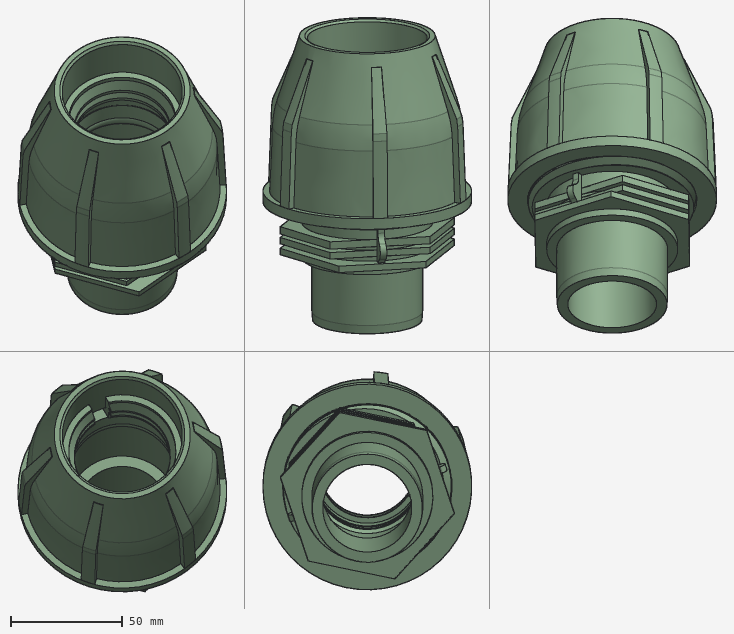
import cadquery as cq
import math

TOTAL_HEIGHT = 132.4

BORE_RADIUS = 20.0
SPIGOT_RADIUS = 25.0
SPIGOT_TIP_RADIUS = 49.43 / 2
SPIGOT_TIP_HEIGHT = 4.0
SHOULDER_RADIUS = 29.5
SHOULDER_BOTTOM = 29.0
SOCKET_RADIUS = 25.0
SOCKET_FLOOR = 36.0
SEAL_POCKET_RADIUS = 29.7
SEAL_POCKET_FLOOR = 76.0
BODY_TOP = 87.0

THREAD_BOTTOM = 52.2
THREAD_TOP = 84.0
THREAD_ROOT_RADIUS = 68.97 / 2
THREAD_CREST_RADIUS = 75.62 / 2
THREAD_PITCH = 6.0
THREAD_CREST_WIDTH = 0.9
THREAD_FLANK_RISE = 2.4
THREAD_EMBED = 0.3
THREAD_START = 48.95

HEX_SIDES = 6
HEX_CORNER_DIAMETER = 80.0
LOWER_PLATE = (32.3, 3.0)
UPPER_PLATES = ((37.4, 3.0), (42.0, 3.4))

LUG_THICKNESS = 3.0
LUG_OUTER = 32.2
KNOB_CENTRE_X = 33.3
KNOB_CENTRE_Z = 41.0
KNOB_RADIUS = 4.0
LUG_FILLET = 4.7

FLANGE_RADIUS = 47.0
FLANGE_BOTTOM = 55.0
FLANGE_TOP = 60.0
SKIRT_BOTTOM_RADIUS = 44.0
SKIRT_TOP_RADIUS = 42.75
SKIRT_TOP = 90.4
CONE_BOTTOM_RADIUS = 40.6
CONE_BOTTOM = 102.0
RIM_RADIUS = 61.2 / 2
RIM_INNER_RADIUS = 28.1
MOUTH_CHAMFER_DEPTH = 1.0
THROAT_RADIUS = 27.0
COLLAR_RADIUS = 31.0
COLLAR_TOP = 97.1
COLLAR_SEAT_BOTTOM = 93.1
NUT_BORE_RADIUS = 76.2 / 2

RIB_COUNT = 6
RIB_ANGLE = 8.0
RIB_BASE_RADIUS = 46.9
RIB_KNEE_LOWER = (45.5, 95.6)
RIB_KNEE_UPPER = (45.0, 99.0)
RIB_TIP = (32.75, 126.6)
RIB_EMBED = 3.0

GRIP_TOP = 111.2
GRIP_BOTTOM = 90.5
GRIP_INNER_RADIUS = 24.1
GRIP_LAND_HEIGHT = 2.2
TOOTH_RADIUS = 21.6
TOOTH_RAMP_HEIGHT = 4.1
TOOTH_LAND_HEIGHT = 1.6
TOOTH_COUNT = 2
SPLIT_WIDTH = 8.2
SPLIT_DIRECTION = 45.0
SPLIT_OFFSET = 2.1

SEAL_SECTION_RADIUS = 3.0
SEAL_TOP = SEAL_POCKET_FLOOR + 2 * SEAL_SECTION_RADIUS
SEAL_INNER_RADIUS = SEAL_POCKET_RADIUS - 2 * SEAL_SECTION_RADIUS
SLEEVE_MOUTH_RADIUS = 24.6


def revolve_full(points):
    """Solid of revolution about Z from a closed (radius, height) outline."""
    return cq.Workplane("XZ").polyline(points).close().revolve(360, (0, 0, 0), (0, 1, 0))


def make_thread():
    """Right-handed helical ridge, trimmed flat at both ends."""
    half_crest = THREAD_CREST_WIDTH / 2
    half_base = half_crest + THREAD_FLANK_RISE
    inner = THREAD_ROOT_RADIUS - THREAD_EMBED
    length = THREAD_TOP - THREAD_START + THREAD_PITCH
    helix = cq.Wire.makeHelix(THREAD_PITCH, length, THREAD_ROOT_RADIUS)
    ridge = (
        cq.Workplane("XZ")
        .polyline([
            (inner, -half_base),
            (THREAD_ROOT_RADIUS, -half_base),
            (THREAD_CREST_RADIUS, -half_crest),
            (THREAD_CREST_RADIUS, half_crest),
            (THREAD_ROOT_RADIUS, half_base),
            (inner, half_base),
        ])
        .close()
        .sweep(cq.Workplane(helix), isFrenet=True)
        .translate((0, 0, THREAD_START))
    )
    envelope = (
        cq.Workplane("XY", origin=(0, 0, THREAD_BOTTOM))
        .circle(FLANGE_RADIUS)
        .extrude(THREAD_TOP - THREAD_BOTTOM)
    )
    return ridge.intersect(envelope)


def make_plate(bottom, thickness):
    """Hexagonal plate with corners on the Y axis."""
    return (
        cq.Workplane("XY", origin=(0, 0, bottom))
        .polygon(HEX_SIDES, HEX_CORNER_DIAMETER)
        .extrude(thickness)
        .rotate((0, 0, 0), (0, 0, 1), 90)
    )


def make_lug():
    """Lug on the +X side: an upright bar with a round knob blended in by concave arcs.

    It stands on the lower plate and ends at the underside of the thread.
    """
    blend_x = LUG_OUTER + LUG_FILLET
    blend_rise = math.sqrt((KNOB_RADIUS + LUG_FILLET) ** 2 - (blend_x - KNOB_CENTRE_X) ** 2)
    share = KNOB_RADIUS / (KNOB_RADIUS + LUG_FILLET)
    joint_x = KNOB_CENTRE_X + share * (blend_x - KNOB_CENTRE_X)
    joint_rise = share * blend_rise
    joint_angle = math.atan2(blend_rise - joint_rise, blend_x - joint_x)
    middle_x = blend_x - LUG_FILLET * math.cos(joint_angle / 2)
    middle_rise = blend_rise - LUG_FILLET * math.sin(joint_angle / 2)
    inner = SOCKET_RADIUS + (SHOULDER_RADIUS - SOCKET_RADIUS) / 2
    z = KNOB_CENTRE_Z
    lug = (
        cq.Workplane("XZ")
        .moveTo(inner, z - blend_rise)
        .lineTo(LUG_OUTER, z - blend_rise)
        .threePointArc((middle_x, z - middle_rise), (joint_x, z - joint_rise))
        .threePointArc((KNOB_CENTRE_X + KNOB_RADIUS, z), (joint_x, z + joint_rise))
        .threePointArc((middle_x, z + middle_rise), (LUG_OUTER, z + blend_rise))
        .lineTo(LUG_OUTER, THREAD_BOTTOM)
        .lineTo(inner, THREAD_BOTTOM)
        .close()
        .extrude(LUG_THICKNESS / 2, both=True)
    )
    below_lower_plate = cq.Workplane("XY").circle(FLANGE_RADIUS).extrude(LOWER_PLATE[0])
    return lug.cut(below_lower_plate)


def make_body():
    shell = revolve_full([
        (0, 0),
        (SPIGOT_TIP_RADIUS, 0),
        (SPIGOT_RADIUS, SPIGOT_TIP_HEIGHT),
        (SPIGOT_RADIUS, SHOULDER_BOTTOM),
        (SHOULDER_RADIUS, SHOULDER_BOTTOM),
        (SHOULDER_RADIUS, THREAD_BOTTOM),
        (THREAD_ROOT_RADIUS, THREAD_BOTTOM),
        (THREAD_ROOT_RADIUS, BODY_TOP),
        (0, BODY_TOP),
    ])
    shell = shell.union(make_thread())
    shell = shell.union(make_plate(*LOWER_PLATE))
    flats = cq.Workplane("XY").box(2 * SHOULDER_RADIUS, HEX_CORNER_DIAMETER, 2 * TOTAL_HEIGHT)
    for bottom, thickness in UPPER_PLATES:
        shell = shell.union(make_plate(bottom, thickness).intersect(flats))
    for angle in (0, 180):
        shell = shell.union(make_lug().rotate((0, 0, 0), (0, 0, 1), angle))
    bore = revolve_full([
        (0, 0),
        (BORE_RADIUS, 0),
        (BORE_RADIUS, SOCKET_FLOOR),
        (SOCKET_RADIUS, SOCKET_FLOOR),
        (SOCKET_RADIUS, SEAL_POCKET_FLOOR),
        (SEAL_POCKET_RADIUS, SEAL_POCKET_FLOOR),
        (SEAL_POCKET_RADIUS, BODY_TOP),
        (0, BODY_TOP),
    ])
    return shell.cut(bore)


def make_rib():
    """Wedge-shaped grip rib that ends on the radial plane through +X."""
    base_inner = SKIRT_BOTTOM_RADIUS - RIB_EMBED
    return (
        cq.Workplane("XZ")
        .polyline([
            (base_inner, FLANGE_TOP),
            (RIB_BASE_RADIUS, FLANGE_TOP),
            RIB_KNEE_LOWER,
            RIB_KNEE_UPPER,
            RIB_TIP,
            (RIB_TIP[0] - RIB_EMBED, RIB_TIP[1]),
            (CONE_BOTTOM_RADIUS - RIB_EMBED, CONE_BOTTOM),
            (SKIRT_TOP_RADIUS - RIB_EMBED, SKIRT_TOP),
        ])
        .close()
        .revolve(RIB_ANGLE, (0, 0, 0), (0, -1, 0))
    )


def make_nut():
    nut = (
        cq.Workplane("XZ")
        .moveTo(NUT_BORE_RADIUS, FLANGE_BOTTOM)
        .lineTo(FLANGE_RADIUS, FLANGE_BOTTOM)
        .lineTo(FLANGE_RADIUS, FLANGE_TOP)
        .lineTo(SKIRT_BOTTOM_RADIUS, FLANGE_TOP)
        .lineTo(SKIRT_TOP_RADIUS, SKIRT_TOP)
        .tangentArcPoint((CONE_BOTTOM_RADIUS, CONE_BOTTOM), relative=False)
        .lineTo(RIM_RADIUS, TOTAL_HEIGHT)
        .lineTo(RIM_INNER_RADIUS, TOTAL_HEIGHT)
        .lineTo(THROAT_RADIUS, TOTAL_HEIGHT - MOUTH_CHAMFER_DEPTH)
        .lineTo(THROAT_RADIUS, COLLAR_TOP)
        .lineTo(COLLAR_RADIUS, COLLAR_TOP)
        .lineTo(COLLAR_RADIUS, COLLAR_SEAT_BOTTOM)
        .lineTo(NUT_BORE_RADIUS, BODY_TOP)
        .close()
        .revolve(360, (0, 0, 0), (0, 1, 0))
    )
    for index in range(RIB_COUNT):
        angle = index * 360 / RIB_COUNT
        nut = nut.union(make_rib().rotate((0, 0, 0), (0, 0, 1), angle))
    return nut


def make_grip_ring():
    """Collared ring with saw teeth inside and one open slot."""
    outline = [
        (COLLAR_RADIUS, GRIP_BOTTOM),
        (COLLAR_RADIUS, COLLAR_TOP),
        (THROAT_RADIUS, COLLAR_TOP),
        (THROAT_RADIUS, GRIP_TOP),
        (GRIP_INNER_RADIUS, GRIP_TOP),
    ]
    height = GRIP_TOP - GRIP_LAND_HEIGHT
    for _ in range(TOOTH_COUNT):
        outline.append((GRIP_INNER_RADIUS, height))
        height -= TOOTH_RAMP_HEIGHT
        outline.append((TOOTH_RADIUS, height))
        height -= TOOTH_LAND_HEIGHT
        outline.append((TOOTH_RADIUS, height))
    outline.append((GRIP_INNER_RADIUS, height))
    outline.append((GRIP_INNER_RADIUS, GRIP_BOTTOM))
    slot = (
        cq.Workplane("XY")
        .box(FLANGE_RADIUS, SPLIT_WIDTH, 2 * TOTAL_HEIGHT, centered=(False, True, True))
        .translate((0, -SPLIT_OFFSET, 0))
        .rotate((0, 0, 0), (0, 0, 1), SPLIT_DIRECTION)
    )
    return revolve_full(outline).cut(slot)


def make_seal():
    """O-ring resting in the seal pocket against its wall."""
    ring_radius = SEAL_POCKET_RADIUS - SEAL_SECTION_RADIUS
    middle_height = SEAL_POCKET_FLOOR + SEAL_SECTION_RADIUS
    ring = cq.Solid.makeTorus(ring_radius, SEAL_SECTION_RADIUS, cq.Vector(0, 0, middle_height))
    return cq.Workplane(ring)


def make_sleeve():
    """Flanged sleeve between the seal and the grip ring, with a tapered bore."""
    return revolve_full([
        (SEAL_INNER_RADIUS, SEAL_TOP),
        (SEAL_POCKET_RADIUS, SEAL_TOP),
        (SEAL_POCKET_RADIUS, BODY_TOP),
        (COLLAR_RADIUS, BODY_TOP),
        (COLLAR_RADIUS, GRIP_BOTTOM),
        (SLEEVE_MOUTH_RADIUS, GRIP_BOTTOM),
    ])


body = make_body()
nut = make_nut()
grip_ring = make_grip_ring()
seal = make_seal()
sleeve = make_sleeve()

result = cq.Compound.makeCompound([
    body.solids().val(),
    nut.solids().val(),
    grip_ring.solids().val(),
    seal.solids().val(),
    sleeve.solids().val(),
])